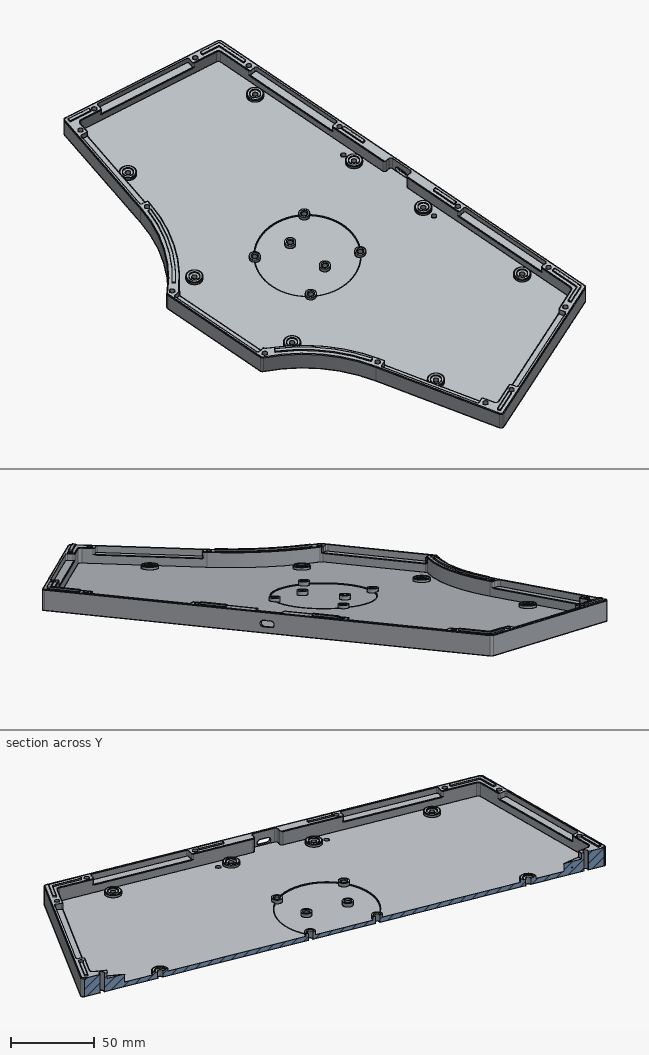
import cadquery as cq
import math

HALF_DEPTH = 85.02
BODY_HEIGHT = 13.0
FLOOR = 3.5
WALL = 7.0
TILT = math.radians(15)
BACK_HALF_WIDTH = 145.6
SIDE_DROP = 108.53
ARC_RADIUS = 97.5
ARC_START_X = 93.4
CORNER_RADIUS = 2.0
EDGE_CHAMFER = 0.5
INNER_CHAMFER = 0.4

KEY_HEIGHT = 1.0
KEY_WIDTH = 2.0
KEY_INSET = 3.6
CORNER_KEY_BACK_END_X = 122.7
CORNER_KEY_SIDE_LENGTH = 15.5
SIDE_KEY_START = 95.0
SIDE_KEY_END = 110.0
BACK_KEY_X = (28.0, 44.5)
ARC_KEY_ANGLES = (39.0, 72.5)

RIM_HOLE_DIAMETER = 3.2
RIM_INSET = 4.0
BACK_HOLE_X = (47.0, 119.0)
SIDE_HOLE_AT = (20.2, 92.3)
SLANT_HOLE_AT = (13.3, 85.0)
FRONT_HOLE_X = 36.8
LIP = 1.7
LEDGE_Z = 9.0
LEDGE_END_GAP = 3.5
LEDGE_FILLET = 1.0

NOTCH_WIDTH = 17.0
NOTCH_WALL = 1.7
NOTCH_FILLET = 1.5
PORT_WIDTH = 9.0
PORT_HEIGHT = 4.0
PORT_Z = FLOOR + 2.2

BOSS_POSITIONS = ((27.5, 72.0), (106.0, 72.0), (122.3, -24.0), (38.8, -58.8))
BOSS_DIAMETER = 10.4
BOSS_HEIGHT = 2.0
BOSS_HOLE = 3.2
BOSS_COUNTERBORE = 6.6
BOSS_COUNTERBORE_DEPTH = 0.8
BOSS_CHAMFER = 0.5
PIN_HOLE = (36.0, 72.0)
PIN_HOLE_DIAMETER = 3.2
DISC_CENTRE_Y = -1.0
DISC_DIAMETER = 64.0
DISC_DEPTH = 0.5
DISC_SLOPE = 0.4
POST_OFFSETS = ((22.25, 22.25), (22.25, -22.25), (13.75, 0))
POST_DIAMETER = 6.6
POST_HOLE = 3.3
POST_HEIGHT = 2.0
POST_CHAMFER = 0.6

BACK_CORNER = (-BACK_HALF_WIDTH, HALF_DEPTH)
SIDE_CORNER = (-BACK_HALF_WIDTH - SIDE_DROP * math.tan(TILT), HALF_DEPTH - SIDE_DROP)
ARC_START = (-ARC_START_X, SIDE_CORNER[1] - (-ARC_START_X - SIDE_CORNER[0]) * math.tan(TILT))
ARC_CENTRE = (ARC_START[0] - ARC_RADIUS * math.sin(TILT), ARC_START[1] - ARC_RADIUS * math.cos(TILT))
ARC_START_ANGLE = math.degrees(math.pi / 2 - TILT)
ARC_END_ANGLE = math.degrees(math.asin((-HALF_DEPTH - ARC_CENTRE[1]) / ARC_RADIUS))


def arc_point(radius, degrees):
    a = math.radians(degrees)
    return (ARC_CENTRE[0] + radius * math.cos(a), ARC_CENTRE[1] + radius * math.sin(a))


def mirrored(point):
    return (-point[0], point[1])


def with_mirrors(points):
    return [p for point in points for p in (point, mirrored(point))]


def on_side(along, inset):
    """Point a distance down the left side from the back corner, inset into the tray."""
    s, c = math.sin(TILT), math.cos(TILT)
    return (BACK_CORNER[0] - along * s + inset * c, BACK_CORNER[1] - along * c - inset * s)


def on_slant(along, inset):
    """Point a distance along the left slanted edge from the side corner, inset into the tray."""
    s, c = math.sin(TILT), math.cos(TILT)
    return (SIDE_CORNER[0] + along * c + inset * s, SIDE_CORNER[1] - along * s + inset * c)


def both_sides(shape):
    return shape.union(shape.mirror("YZ"))


def outline():
    arc_middle = arc_point(ARC_RADIUS, (ARC_START_ANGLE + ARC_END_ANGLE) / 2)
    arc_end = arc_point(ARC_RADIUS, ARC_END_ANGLE)
    return (
        cq.Workplane("XY")
        .moveTo(*BACK_CORNER)
        .lineTo(*SIDE_CORNER)
        .lineTo(*ARC_START)
        .threePointArc(arc_middle, arc_end)
        .lineTo(*mirrored(arc_end))
        .threePointArc(mirrored(arc_middle), mirrored(ARC_START))
        .lineTo(*mirrored(SIDE_CORNER))
        .lineTo(*mirrored(BACK_CORNER))
        .close()
    )


def is_corner(edge):
    """True for the upright edges at real corners, not where the arcs run on tangentially."""
    return abs(abs(edge.Center().x) - ARC_START_X) > 2 * WALL


def rounded_prism(profile, height, radius=CORNER_RADIUS):
    prism = profile.extrude(height)
    corners = [e for e in prism.edges("|Z").vals() if is_corner(e)]
    return prism.newObject(corners).fillet(radius)


def tray():
    outside = rounded_prism(outline(), BODY_HEIGHT).faces(">Z").chamfer(EDGE_CHAMFER)
    inside = rounded_prism(outline().offset2D(-WALL, "intersection"), BODY_HEIGHT)
    mouth_profile = outline().offset2D(INNER_CHAMFER - WALL, "intersection")
    mouth = rounded_prism(mouth_profile, BODY_HEIGHT, CORNER_RADIUS + INNER_CHAMFER)
    mouth = mouth.faces("<Z").chamfer(INNER_CHAMFER)
    hollow = outside.cut(inside.translate((0, 0, FLOOR)))
    return hollow.cut(mouth.translate((0, 0, BODY_HEIGHT - INNER_CHAMFER)))


def local_plane(start, end, z):
    """Plane with its origin midway between two points and X running from start to end."""
    middle = ((start[0] + end[0]) / 2, (start[1] + end[1]) / 2, z)
    return cq.Plane(origin=middle, xDir=(end[0] - start[0], end[1] - start[1], 0), normal=(0, 0, 1))


def bar(start, end):
    """Key running straight from start to end."""
    return (
        cq.Workplane(local_plane(start, end, BODY_HEIGHT))
        .rect(math.dist(start, end), KEY_WIDTH)
        .extrude(KEY_HEIGHT)
    )


def corner_key():
    """L-shaped key around the back corner, mitred at the bend."""
    def edge_points(inset):
        bend_x = BACK_CORNER[0] + inset / math.cos(TILT) - inset * math.tan(TILT)
        y = HALF_DEPTH - inset
        return [(-CORNER_KEY_BACK_END_X, y), (bend_x, y), on_side(CORNER_KEY_SIDE_LENGTH, inset)]

    outer = edge_points(KEY_INSET - KEY_WIDTH / 2)
    inner = edge_points(KEY_INSET + KEY_WIDTH / 2)
    points = outer + inner[::-1]
    return cq.Workplane("XY", origin=(0, 0, BODY_HEIGHT)).polyline(points).close().extrude(KEY_HEIGHT)


def arc_key():
    inner = ARC_RADIUS + KEY_INSET - KEY_WIDTH / 2
    outer = inner + KEY_WIDTH
    first, last = ARC_KEY_ANGLES
    middle = (first + last) / 2
    return (
        cq.Workplane("XY", origin=(0, 0, BODY_HEIGHT))
        .moveTo(*arc_point(inner, first))
        .threePointArc(arc_point(inner, middle), arc_point(inner, last))
        .lineTo(*arc_point(outer, last))
        .threePointArc(arc_point(outer, middle), arc_point(outer, first))
        .close()
        .extrude(KEY_HEIGHT)
    )


def keys():
    key_y = HALF_DEPTH - KEY_INSET
    left = bar((-BACK_KEY_X[1], key_y), (-BACK_KEY_X[0], key_y))
    left = left.union(bar(on_side(SIDE_KEY_START, KEY_INSET), on_side(SIDE_KEY_END, KEY_INSET)))
    left = left.union(corner_key()).union(arc_key())
    return both_sides(left)


BACK_HOLES = [(-x, HALF_DEPTH - RIM_INSET) for x in BACK_HOLE_X]
SIDE_HOLES = [on_side(along, RIM_INSET) for along in SIDE_HOLE_AT]
SLANT_HOLES = [on_slant(along, RIM_INSET) for along in SLANT_HOLE_AT]
FRONT_HOLES = [(-FRONT_HOLE_X, RIM_INSET - HALF_DEPTH), (FRONT_HOLE_X, RIM_INSET - HALF_DEPTH)]


def drill(points, diameter, bottom, depth):
    return cq.Workplane("XY", origin=(0, 0, bottom)).pushPoints(points).circle(diameter / 2).extrude(depth)


def ledge(start, end):
    """Cutter lowering the inside of the wall between two holes; the tray lies on its +Y side."""
    half = math.dist(start, end) / 2 - LEDGE_END_GAP
    back = LIP - RIM_INSET
    front = WALL - RIM_INSET
    r = LEDGE_FILLET
    plane = local_plane(start, end, LEDGE_Z)
    step = (
        cq.Workplane(plane)
        .moveTo(-half + r, back)
        .lineTo(half - r, back)
        .radiusArc((half, back + r), -r)
        .lineTo(half, front - r)
        .radiusArc((half + r, front), r)
        .lineTo(-half - r, front)
        .radiusArc((-half, front - r), r)
        .lineTo(-half, back + r)
        .radiusArc((-half + r, back), -r)
        .close()
        .extrude(BODY_HEIGHT)
    )
    section = cq.Plane(origin=plane.toWorldCoords((-half, front, 0)), xDir=plane.yDir, normal=plane.xDir)
    bevel_points = [(-INNER_CHAMFER, 0), (0, 0), (0, -INNER_CHAMFER)]
    bevel = cq.Workplane(section).polyline(bevel_points).close().extrude(2 * half)
    return step.union(bevel)


def ledges():
    left = ledge(*BACK_HOLES)
    left = left.union(ledge(*SIDE_HOLES)).union(ledge(*SLANT_HOLES))
    return both_sides(left).union(ledge(*FRONT_HOLES))


def rim_holes():
    left = BACK_HOLES + SIDE_HOLES + SLANT_HOLES
    return drill(with_mirrors(left) + FRONT_HOLES, RIM_HOLE_DIAMETER, 0, BODY_HEIGHT)


def notch():
    """Cable notch in the inside of the back wall, with a port through what is left of the wall."""
    half = NOTCH_WIDTH / 2
    front = HALF_DEPTH - WALL
    back = HALF_DEPTH - NOTCH_WALL
    r = NOTCH_FILLET
    recess = (
        cq.Workplane("XY", origin=(0, 0, FLOOR))
        .moveTo(-half - r, front)
        .lineTo(half + r, front)
        .radiusArc((half, front + r), r)
        .lineTo(half, back - r)
        .radiusArc((half - r, back), -r)
        .lineTo(r - half, back)
        .radiusArc((-half, back - r), -r)
        .lineTo(-half, front + r)
        .radiusArc((-half - r, front), r)
        .close()
        .extrude(BODY_HEIGHT)
    )
    port = (
        cq.Workplane("XZ", origin=(0, HALF_DEPTH, PORT_Z))
        .slot2D(PORT_WIDTH, PORT_HEIGHT)
        .extrude(WALL)
    )
    return recess.union(port)


BOSSES = with_mirrors(BOSS_POSITIONS)
POSTS = with_mirrors([(x, DISC_CENTRE_Y + y) for x, y in POST_OFFSETS])
BOSS_TOP = FLOOR + BOSS_HEIGHT
POST_TOP = FLOOR + POST_HEIGHT


def bosses():
    """Chamfered bosses standing through the floor."""
    return drill(BOSSES, BOSS_DIAMETER, 0, BOSS_TOP).faces(">Z").chamfer(BOSS_CHAMFER)


def boss_holes():
    counterbore_floor = BOSS_TOP - BOSS_COUNTERBORE_DEPTH
    counterbores = drill(BOSSES, BOSS_COUNTERBORE, counterbore_floor, BOSS_COUNTERBORE_DEPTH)
    return drill(BOSSES, BOSS_HOLE, 0, BOSS_TOP).union(counterbores)


def posts():
    tubes = drill(POSTS, POST_DIAMETER, 0, POST_TOP)
    holes = drill(POSTS, POST_HOLE, 0, POST_TOP)
    mouths = tubes.cut(holes).faces(">Z").edges(cq.selectors.RadiusNthSelector(0))
    return mouths.chamfer(POST_CHAMFER)


def disc_recess():
    """Shallow round recess with a sloping edge."""
    disc = drill([(0, DISC_CENTRE_Y)], DISC_DIAMETER, FLOOR - DISC_DEPTH, DISC_DEPTH)
    return disc.faces("<Z").chamfer(DISC_SLOPE)


result = tray().union(keys()).cut(ledges()).cut(rim_holes()).cut(notch())
result = result.cut(disc_recess())
result = result.union(bosses()).cut(boss_holes())
result = result.cut(drill(POSTS, POST_HOLE, 0, FLOOR)).union(posts())
result = result.cut(drill(with_mirrors([PIN_HOLE]), PIN_HOLE_DIAMETER, 0, FLOOR)).solids()